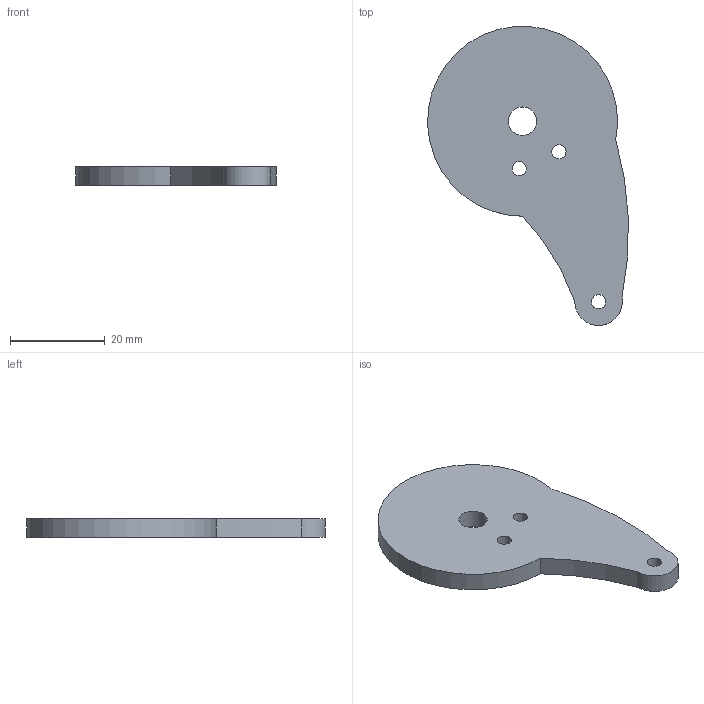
import cadquery as cq
import math

thickness = 4.0

disc_radius = 20.0
bore_diameter = 6.0

pin_hole_diameter = 3.0
pin_circle_radius = 10.0
pin_angles = (-40.0, -94.0)

tip_x = 16.0
tip_y = -38.0
tip_radius = 5.0
tip_hole_diameter = 3.0

inner_side_radius = 50.0
outer_side_radius = 70.0
outer_start_drop = 3.9
outer_end_rise = 0.9


def make_disc():
    return cq.Workplane("XY").circle(disc_radius).extrude(thickness)


def make_arm():
    """Arm that runs from the disc to the tip, closed by a straight line inside the disc."""
    inner_start = (0.0, -disc_radius)
    inner_end = (tip_x - tip_radius, tip_y)
    tip_bottom = (tip_x, tip_y - tip_radius)
    outer_end = (tip_x + math.sqrt(tip_radius**2 - outer_end_rise**2), tip_y + outer_end_rise)
    outer_start = (math.sqrt(disc_radius**2 - outer_start_drop**2), -outer_start_drop)
    return (
        cq.Workplane("XY")
        .moveTo(*inner_start)
        .radiusArc(inner_end, inner_side_radius)
        .threePointArc(tip_bottom, outer_end)
        .radiusArc(outer_start, -outer_side_radius)
        .close()
        .extrude(thickness)
    )


def make_hole(x, y, diameter):
    """Cutter for a hole through the full plate thickness."""
    return cq.Workplane("XY").center(x, y).circle(diameter / 2).extrude(thickness)


result = make_disc().union(make_arm())
result = result.cut(make_hole(0, 0, bore_diameter))
result = result.cut(make_hole(tip_x, tip_y, tip_hole_diameter))
for angle in pin_angles:
    pin_x = pin_circle_radius * math.cos(math.radians(angle))
    pin_y = pin_circle_radius * math.sin(math.radians(angle))
    result = result.cut(make_hole(pin_x, pin_y, pin_hole_diameter))